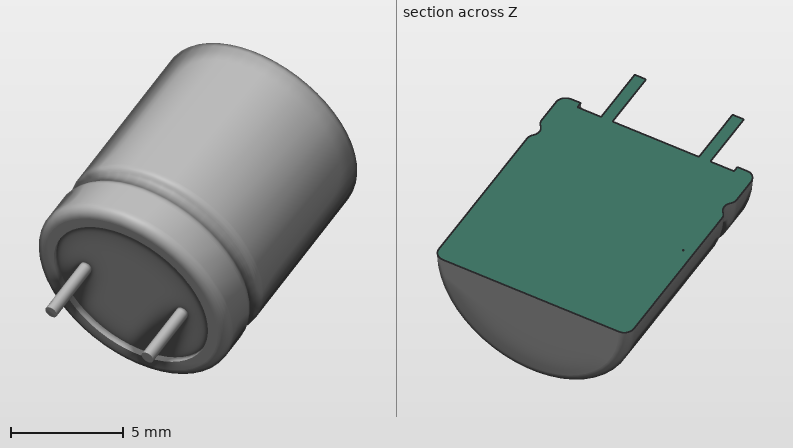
import cadquery as cq
import math

can_diameter = 10.0
can_length = 11.5
rim_fillet = 0.5

groove_center = 2.45
groove_width = 1.294
groove_blend_angle = math.radians(45)

seal_diameter = 8.0
seal_recess = 0.3

lead_diameter = 0.6
lead_spacing = 5.0
lead_length = 2.71

can_radius = can_diameter / 2
groove_quarter = groove_width / 4
groove_arc_radius = groove_quarter / math.sin(groove_blend_angle)
groove_depth = 2 * groove_arc_radius * (1 - math.cos(groove_blend_angle))


def shoulder_point(side, angle):
    """Point (y, radius) on a groove shoulder, at an angle from its outer tangent line."""
    y = groove_center + side * (groove_width / 2 - groove_arc_radius * math.sin(angle))
    radius = can_radius - groove_arc_radius * (1 - math.cos(angle))
    return (y, radius)


def make_can():
    """Solid can revolved about Y, with rounded rims and the crimp groove."""
    rim_sag = rim_fillet * (1 - math.sqrt(0.5))
    half_blend = groove_blend_angle / 2
    profile = (
        cq.Workplane("YZ")
        .moveTo(0, 0)
        .lineTo(0, can_radius - rim_fillet)
        .threePointArc((rim_sag, can_radius - rim_sag), (rim_fillet, can_radius))
        .lineTo(*shoulder_point(-1, 0))
        .threePointArc(shoulder_point(-1, half_blend), shoulder_point(-1, groove_blend_angle))
        .threePointArc((groove_center, can_radius - groove_depth), shoulder_point(1, groove_blend_angle))
        .threePointArc(shoulder_point(1, half_blend), shoulder_point(1, 0))
        .lineTo(can_length - rim_fillet, can_radius)
        .threePointArc(
            (can_length - rim_sag, can_radius - rim_sag),
            (can_length, can_radius - rim_fillet),
        )
        .lineTo(can_length, 0)
        .close()
    )
    return profile.revolve(360, (0, 0, 0), (1, 0, 0))


def cylinder_along_y(diameter, y_start, y_end, x=0):
    """Cylinder parallel to Y at the given X, between two Y positions."""
    axis = cq.Vector(0, 1, 0)
    start = cq.Vector(x, y_start, 0)
    return cq.Workplane(cq.Solid.makeCylinder(diameter / 2, y_end - y_start, start, axis))


def make_lead(side):
    """Round lead that starts on the recessed seal, on the -X (-1) or +X (1) side."""
    return cylinder_along_y(lead_diameter, -lead_length, seal_recess, side * lead_spacing / 2)


seal_pocket = cylinder_along_y(seal_diameter, 0, seal_recess)
result = make_can().cut(seal_pocket)
for side in (-1, 1):
    result = result.union(make_lead(side))